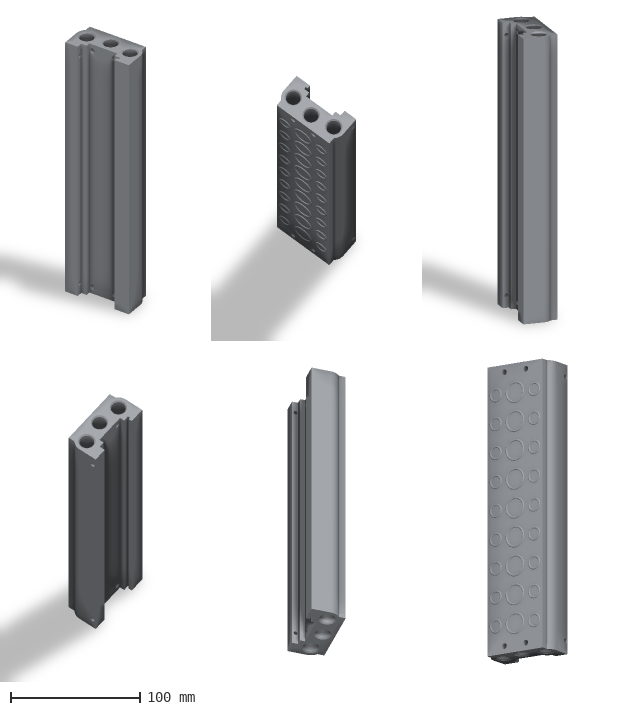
import cadquery as cq
import math

LENGTH = 230.0
WIDTH = 59.0
BODY_DEPTH = 29.0
OVERALL_DEPTH = 29.68
HEAD_WIDTH = 52.0

SIDE_BORE_X = 20.0
SIDE_BORE_Y = 16.0
CENTER_BORE_Y = 19.0
BORE_DIAMETER = 11.44
BORE_MOUTH_DIAMETER = 13.5

SHOULDER_RADIUS = WIDTH / 2 - SIDE_BORE_X

CHANNEL_HALF_WIDTH = 18.0
CHANNEL_DEPTH = 5.0
LIP_HALF_WIDTH = 16.25
LIP_DEPTH = 3.0
RECESS_HALF_WIDTH = 13.0
RECESS_DEPTH = 9.0

MOUNT_HOLE_DIAMETER = 4.5
MOUNT_HOLE_X = 10.0
MOUNT_HOLE_END_OFFSET = 6.0

SCREW_HOLE_DIAMETER = 3.24
SCREW_MOUTH_DIAMETER = 4.2
SCREW_HOLE_Y = 3.0
SCREW_HOLE_END_OFFSET = 10.0

STATION_COUNT = 9
STATION_PITCH = LENGTH / (STATION_COUNT + 1)
RING_SECTION_DIAMETER = 1.78
CENTER_RING_OUTER_DIAMETER = 17.5
SIDE_RING_OUTER_DIAMETER = 11.45
SIDE_RING_X = 18.0


def make_body():
    """Extruded rail: narrow head, rounded shoulders and a channel with a lip on its +X side."""
    half_width = WIDTH / 2
    half_head = HEAD_WIDTH / 2
    shoulder_angle = math.acos((half_head - SIDE_BORE_X) / SHOULDER_RADIUS)
    shoulder_y = SIDE_BORE_Y + SHOULDER_RADIUS * math.sin(shoulder_angle)
    middle_x = SIDE_BORE_X + SHOULDER_RADIUS * math.cos(shoulder_angle / 2)
    middle_y = SIDE_BORE_Y + SHOULDER_RADIUS * math.sin(shoulder_angle / 2)
    return (
        cq.Workplane("XY")
        .moveTo(-half_width, 0)
        .lineTo(-half_width, SIDE_BORE_Y)
        .threePointArc((-middle_x, middle_y), (-half_head, shoulder_y))
        .lineTo(-half_head, BODY_DEPTH)
        .lineTo(half_head, BODY_DEPTH)
        .lineTo(half_head, shoulder_y)
        .threePointArc((middle_x, middle_y), (half_width, SIDE_BORE_Y))
        .lineTo(half_width, 0)
        .lineTo(LIP_HALF_WIDTH, 0)
        .lineTo(LIP_HALF_WIDTH, LIP_DEPTH)
        .lineTo(CHANNEL_HALF_WIDTH, LIP_DEPTH)
        .lineTo(CHANNEL_HALF_WIDTH, CHANNEL_DEPTH)
        .lineTo(RECESS_HALF_WIDTH, CHANNEL_DEPTH)
        .lineTo(RECESS_HALF_WIDTH, RECESS_DEPTH)
        .lineTo(-RECESS_HALF_WIDTH, RECESS_DEPTH)
        .lineTo(-RECESS_HALF_WIDTH, CHANNEL_DEPTH)
        .lineTo(-CHANNEL_HALF_WIDTH, CHANNEL_DEPTH)
        .lineTo(-CHANNEL_HALF_WIDTH, 0)
        .close()
        .extrude(LENGTH)
    )


def mouth_cone(mouth_diameter, hole_diameter, center, direction):
    """45 degree countersink cutter narrowing from mouth to hole along the direction."""
    depth = (mouth_diameter - hole_diameter) / 2
    return cq.Solid.makeCone(
        mouth_diameter / 2, hole_diameter / 2, depth, cq.Vector(*center), cq.Vector(*direction)
    )


def cut_bores(body):
    """Three bores along the full length, countersunk at both ends."""
    bore_centers = [
        (-SIDE_BORE_X, SIDE_BORE_Y),
        (0, CENTER_BORE_Y),
        (SIDE_BORE_X, SIDE_BORE_Y),
    ]
    for x, y in bore_centers:
        body = body.cut(cq.Workplane("XY").center(x, y).circle(BORE_DIAMETER / 2).extrude(LENGTH))
        for z, direction in ((0, 1), (LENGTH, -1)):
            mouth = mouth_cone(BORE_MOUTH_DIAMETER, BORE_DIAMETER, (x, y, z), (0, 0, direction))
            body = body.cut(cq.Workplane(mouth))
    return body


def cut_mounting_holes(body):
    """Two holes through the body near each end."""
    for x in (-MOUNT_HOLE_X, MOUNT_HOLE_X):
        for z in (MOUNT_HOLE_END_OFFSET, LENGTH - MOUNT_HOLE_END_OFFSET):
            hole = cq.Solid.makeCylinder(
                MOUNT_HOLE_DIAMETER / 2, BODY_DEPTH, cq.Vector(x, 0, z), cq.Vector(0, 1, 0)
            )
            body = body.cut(cq.Workplane(hole))
    return body


def cut_screw_holes(body):
    """One countersunk hole near each end, through the -X wall only."""
    wall_thickness = WIDTH / 2 - CHANNEL_HALF_WIDTH
    for z in (SCREW_HOLE_END_OFFSET, LENGTH - SCREW_HOLE_END_OFFSET):
        mouth = (-WIDTH / 2, SCREW_HOLE_Y, z)
        inward = (1, 0, 0)
        hole = cq.Solid.makeCylinder(
            SCREW_HOLE_DIAMETER / 2, wall_thickness, cq.Vector(*mouth), cq.Vector(*inward)
        )
        body = body.cut(cq.Workplane(hole))
        body = body.cut(cq.Workplane(mouth_cone(SCREW_MOUTH_DIAMETER, SCREW_HOLE_DIAMETER, mouth, inward)))
    return body


def seal_ring(outer_diameter, x, z):
    """Round-section ring around a Y axis, with its crest at the overall depth."""
    section_radius = RING_SECTION_DIAMETER / 2
    center_radius = outer_diameter / 2 - section_radius
    center = cq.Vector(x, OVERALL_DEPTH - section_radius, z)
    ring = cq.Solid.makeTorus(center_radius, section_radius, center, cq.Vector(0, 1, 0))
    return cq.Workplane(ring)


def add_seal_rings(body):
    """A row of three seal rings at each station along the +Y face."""
    rings = [
        (-SIDE_RING_X, SIDE_RING_OUTER_DIAMETER),
        (0, CENTER_RING_OUTER_DIAMETER),
        (SIDE_RING_X, SIDE_RING_OUTER_DIAMETER),
    ]
    for station in range(1, STATION_COUNT + 1):
        for x, outer_diameter in rings:
            body = body.union(seal_ring(outer_diameter, x, station * STATION_PITCH))
    return body


result = make_body()
result = cut_bores(result)
result = cut_mounting_holes(result)
result = cut_screw_holes(result)
result = add_seal_rings(result)